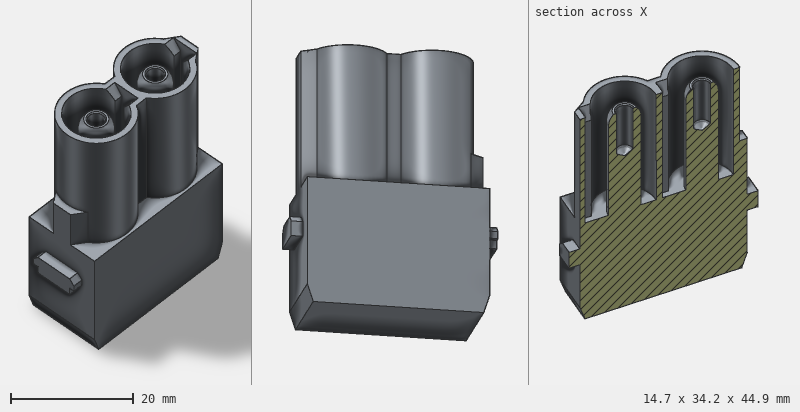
import cadquery as cq
import math

total_height = 44.85
body_width = 14.65
body_length = 30.35
body_height = 21.45
foot_taper_height = 3.0
foot_taper_depth = 1.0

socket_pitch = 14.0
socket_outer_dia = 13.65
socket_bore_dia = 11.3
bridge_width = 7.15

rib_tip_width = 3.85
front_rib_top = 28.52

keyway_reach = 7.15
keyway_width = 2.0
keyway_mouth_width = 5.2
keyway_flare_depth = 2.05

pin_dia = 5.95
pin_tip_dia = 4.13
pin_tip_drop = 1.35
pin_mouth_dia = 3.35
pin_bore_dia = 2.95
pin_bore_depth = 8.95
drill_step_dia = 2.5
drill_point_angle = 118.0

lug_projection = 1.95
lug_top = 16.05
lug_bottom = 12.42
lug_width = 7.15
lug_ear_width = 9.05
lug_ear_bottom = 13.85
front_lug_chamfer = 1.0
rear_lug_chamfer = 1.1

body_end = body_length / 2
socket_height = total_height - body_height
socket_centers = [(0, -socket_pitch / 2), (0, socket_pitch / 2)]


def make_body():
    """Block with both ends tapered in at the foot."""
    foot_end = body_end - foot_taper_depth
    outline = [
        (-foot_end, 0),
        (foot_end, 0),
        (body_end, foot_taper_height),
        (body_end, body_height),
        (-body_end, body_height),
        (-body_end, foot_taper_height),
    ]
    return cq.Workplane("YZ").polyline(outline).close().extrude(body_width / 2, both=True)


def make_rib(direction, top):
    """Tapered rib from a socket wall to the body end face; direction is +1 for +Y, -1 for -Y."""
    root = bridge_width / 2
    tip = rib_tip_width / 2
    center_y = socket_pitch / 2
    root_y = center_y + math.sqrt((socket_outer_dia / 2) ** 2 - root ** 2)
    outline = [
        (-root, direction * center_y),
        (root, direction * center_y),
        (root, direction * root_y),
        (tip, direction * body_end),
        (-tip, direction * body_end),
        (-root, direction * root_y),
    ]
    rib = cq.Workplane("XY").workplane(offset=body_height).polyline(outline).close()
    return rib.extrude(top - body_height)


def make_sockets():
    """Two round towers, the bridge between them and the two end ribs, all solid."""
    base = cq.Workplane("XY").workplane(offset=body_height)
    towers = base.pushPoints(socket_centers).circle(socket_outer_dia / 2).extrude(socket_height)
    bridge = base.rect(bridge_width, socket_pitch).extrude(socket_height)
    return towers.union(bridge).union(make_rib(1, total_height)).union(make_rib(-1, front_rib_top))


def make_keyway(center_y):
    """Keyway cutter from the bore axis outward, widening toward the top."""
    half = keyway_width / 2
    mouth_half = keyway_mouth_width / 2
    flare_start = total_height - keyway_flare_depth
    outline = [
        (-half, body_height),
        (half, body_height),
        (half, flare_start),
        (mouth_half, total_height),
        (-mouth_half, total_height),
        (-half, flare_start),
    ]
    plane = cq.Workplane("XZ", origin=(0, center_y, 0))
    return plane.polyline(outline).close().extrude(-keyway_reach)


def make_pin(center_y):
    """Revolved contact pin with a spherical end and a blind bore ending in a drill point."""
    pin_radius = pin_dia / 2
    tip_radius = pin_tip_dia / 2
    mouth_radius = pin_mouth_dia / 2
    bore_radius = pin_bore_dia / 2
    step_radius = drill_step_dia / 2

    tip_z = total_height - pin_tip_drop
    sphere_z = tip_z - math.sqrt(pin_radius ** 2 - tip_radius ** 2)
    tip_angle = math.acos(tip_radius / pin_radius)
    arc_middle = (
        pin_radius * math.cos(tip_angle / 2),
        sphere_z + pin_radius * math.sin(tip_angle / 2),
    )

    mouth_chamfer = mouth_radius - bore_radius
    bore_floor = tip_z - pin_bore_depth
    step_z = bore_floor - (bore_radius - step_radius)
    point_height = step_radius / math.tan(math.radians(drill_point_angle / 2))

    profile = (
        cq.Workplane("XZ", origin=(0, center_y, 0))
        .moveTo(0, body_height)
        .lineTo(pin_radius, body_height)
        .lineTo(pin_radius, sphere_z)
        .threePointArc(arc_middle, (tip_radius, tip_z))
        .lineTo(mouth_radius, tip_z)
        .lineTo(bore_radius, tip_z - mouth_chamfer)
        .lineTo(bore_radius, bore_floor)
        .lineTo(step_radius, step_z)
        .lineTo(0, step_z - point_height)
        .close()
    )
    return profile.revolve(360, (0, 0, 0), (0, 1, 0))


def make_lug(ear_width, chamfer):
    """Eared lug on a stem, with chamfered top corners, standing out from y = 0 toward -Y."""
    ear = ear_width / 2
    upper = (
        cq.Workplane("XZ")
        .polyline([
            (-ear, lug_ear_bottom),
            (ear, lug_ear_bottom),
            (ear, lug_top - chamfer),
            (ear - chamfer, lug_top),
            (chamfer - ear, lug_top),
            (-ear, lug_top - chamfer),
        ])
        .close()
        .extrude(lug_projection)
    )
    stem_height = lug_ear_bottom - lug_bottom
    lower = (
        cq.Workplane("XZ")
        .center(0, lug_bottom + stem_height / 2)
        .rect(lug_width, stem_height)
        .extrude(lug_projection)
    )
    return upper.union(lower)


result = make_body().union(make_sockets())

bores = cq.Workplane("XY").workplane(offset=body_height).pushPoints(socket_centers)
result = result.cut(bores.circle(socket_bore_dia / 2).extrude(socket_height))

for _, socket_y in socket_centers:
    result = result.cut(make_keyway(socket_y)).union(make_pin(socket_y))

front_lug = make_lug(lug_ear_width, front_lug_chamfer).translate((0, -body_end, 0))
rear_lug = make_lug(lug_width, rear_lug_chamfer).translate((0, body_end + lug_projection, 0))
result = result.union(front_lug).union(rear_lug)